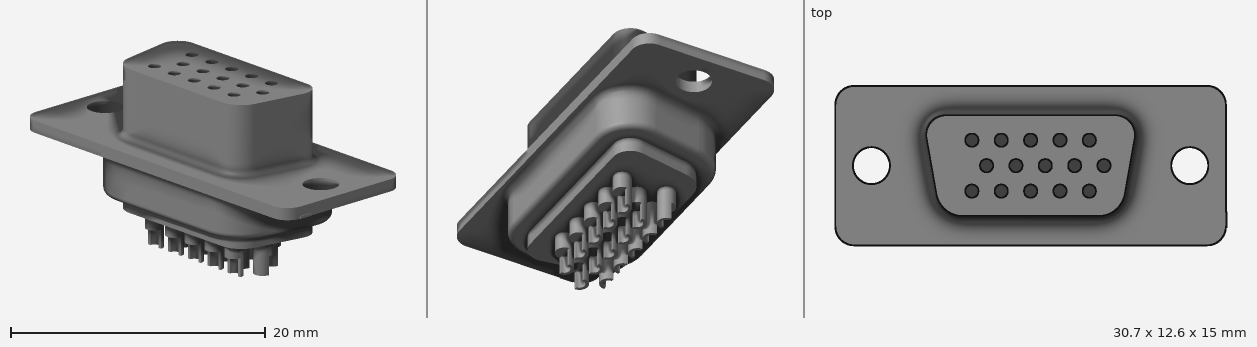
import cadquery as cq
import math

OVERALL_LENGTH = 30.73
TAB_REACH = 0.05
FLANGE_LENGTH = OVERALL_LENGTH - TAB_REACH
FLANGE_WIDTH = 12.55
FLANGE_THICKNESS = 1.0
FLANGE_CORNER_RADIUS = 1.5
MOUNTING_HOLE_SPACING = 24.98
MOUNTING_HOLE_DIAMETER = 2.9

TAB_WIDTH = 1.17
TAB_HEIGHT = 0.2
TAB_CENTER_Y = -4.25

SHELL_WIDTH = 7.9
SHELL_HALF_LENGTH = 8.48
SIDE_ANGLE = 10.0
WIDE_CORNER_RADIUS = 1.55
NARROW_CORNER_RADIUS = 2.05
FILLET_RADIUS = 0.5

OVERALL_HEIGHT = 15.0
SHELL_HEIGHT = 5.9
COLLAR_HEIGHT = 3.78
COLLAR_OFFSET = 1.55
BASE_HEIGHT = 1.25
PIN_LENGTH = OVERALL_HEIGHT - SHELL_HEIGHT - FLANGE_THICKNESS - COLLAR_HEIGHT - BASE_HEIGHT

CONTACTS_PER_ROW = 5
CONTACT_PITCH = 2.3
ROW_SPACING = 2.0
SOCKET_DIAMETER = 1.05
SOCKET_DEPTH = SHELL_HEIGHT
PIN_DIAMETER = 1.5
CUP_BORE_DIAMETER = 0.95
CUP_HEIGHT = 1.57

FLANGE_BOTTOM = -FLANGE_THICKNESS
COLLAR_BOTTOM = FLANGE_BOTTOM - COLLAR_HEIGHT
BASE_BOTTOM = COLLAR_BOTTOM - BASE_HEIGHT
PIN_BOTTOM = BASE_BOTTOM - PIN_LENGTH

CONTACT_ROWS = [
    (ROW_SPACING, 0.0, 1),
    (0.0, CONTACT_PITCH / 2, 1),
    (-ROW_SPACING, 0.0, -1),
]


def d_prism(bottom, top, offset=0.0):
    """Vertical D-shaped prism, its outline grown outward by offset."""
    half_width = SHELL_WIDTH / 2 + offset
    slope = math.radians(SIDE_ANGLE)
    side_shift = offset / math.cos(slope)
    wide_half = SHELL_HALF_LENGTH + side_shift + offset * math.tan(slope)
    narrow_half = wide_half - 2 * half_width * math.tan(slope)
    corners = [
        (-wide_half, half_width),
        (wide_half, half_width),
        (narrow_half, -half_width),
        (-narrow_half, -half_width),
    ]
    prism = cq.Workplane("XY").workplane(offset=bottom).polyline(corners).close().extrude(top - bottom)
    prism = prism.edges("|Z and >Y").fillet(WIDE_CORNER_RADIUS + offset)
    return prism.edges("|Z and <Y").fillet(NARROW_CORNER_RADIUS + offset)


def joint_edges(z):
    """Selector for the edges where a D-shaped section meets the flange at height z."""
    x_limit = SHELL_HALF_LENGTH + COLLAR_OFFSET
    y_limit = SHELL_WIDTH / 2 + COLLAR_OFFSET + FILLET_RADIUS
    z_margin = 0.03
    return cq.selectors.BoxSelector((-x_limit, -y_limit, z - z_margin), (x_limit, y_limit, z + z_margin))


def contact_positions(row_y, row_shift):
    """Contact centres of one row."""
    middle = (CONTACTS_PER_ROW - 1) / 2
    return [((i - middle) * CONTACT_PITCH + row_shift, row_y) for i in range(CONTACTS_PER_ROW)]


def flange():
    plate = cq.Workplane("XY").workplane(offset=FLANGE_BOTTOM).rect(FLANGE_LENGTH, FLANGE_WIDTH)
    plate = plate.extrude(FLANGE_THICKNESS).edges("|Z").fillet(FLANGE_CORNER_RADIUS)
    hole_x = MOUNTING_HOLE_SPACING / 2
    plate = plate.faces(">Z").workplane().pushPoints([(-hole_x, 0), (hole_x, 0)])
    return plate.hole(MOUNTING_HOLE_DIAMETER)


def end_tab():
    return (
        cq.Workplane("XY")
        .box(2 * TAB_REACH, TAB_WIDTH, TAB_HEIGHT, centered=(True, True, False))
        .translate((FLANGE_LENGTH / 2, TAB_CENTER_Y, FLANGE_BOTTOM))
    )


def solder_pins(row_y, row_shift, open_side):
    """One row of round pins whose lower ends are half-open solder cups."""
    points = contact_positions(row_y, row_shift)
    pins = cq.Workplane("XY").workplane(offset=PIN_BOTTOM).pushPoints(points)
    pins = pins.circle(PIN_DIAMETER / 2).extrude(PIN_LENGTH)
    bores = cq.Workplane("XY").workplane(offset=PIN_BOTTOM).pushPoints(points)
    bores = bores.circle(CUP_BORE_DIAMETER / 2).extrude(CUP_HEIGHT)
    row_length = (CONTACTS_PER_ROW + 1) * CONTACT_PITCH
    opening = (
        cq.Workplane("XY")
        .box(row_length, PIN_DIAMETER, CUP_HEIGHT, centered=(True, True, False))
        .translate((row_shift, row_y + open_side * PIN_DIAMETER / 2, PIN_BOTTOM))
    )
    return pins.cut(bores).cut(opening)


collar = d_prism(COLLAR_BOTTOM, FLANGE_BOTTOM, COLLAR_OFFSET).faces("<Z").edges().fillet(FILLET_RADIUS)
result = flange().union(d_prism(0, SHELL_HEIGHT)).union(collar)
result = result.edges(joint_edges(0)).fillet(FILLET_RADIUS)
result = result.edges(joint_edges(FLANGE_BOTTOM)).fillet(FILLET_RADIUS)

result = result.union(end_tab())
result = result.union(d_prism(BASE_BOTTOM, COLLAR_BOTTOM))

for y, shift, side in CONTACT_ROWS:
    result = result.union(solder_pins(y, shift, side))
    sockets = cq.Workplane("XY").workplane(offset=SHELL_HEIGHT).pushPoints(contact_positions(y, shift))
    result = result.cut(sockets.circle(SOCKET_DIAMETER / 2).extrude(-SOCKET_DEPTH))